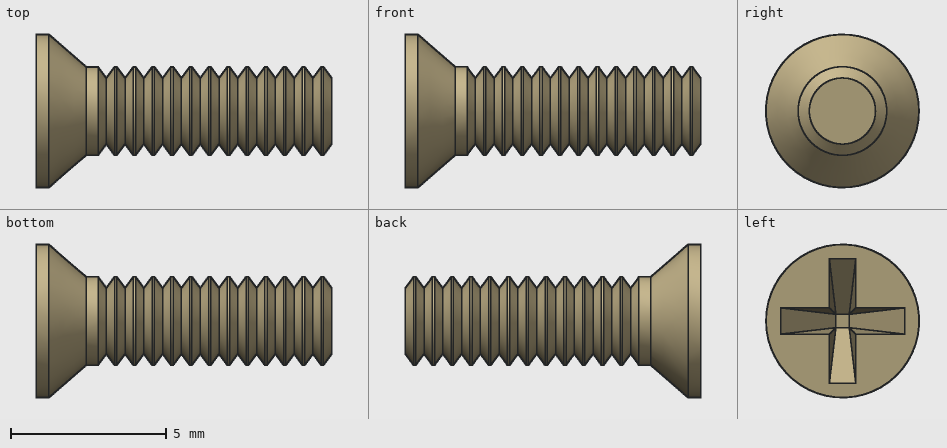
import cadquery as cq

length = 9.53
head_diameter = 4.95
head_radius = head_diameter / 2
rim_length = 0.41
cone_end = 1.61

shank_radius = 1.43
shank_end = 1.99
root_radius = 1.07
first_root = 2.26
ring_count = 12
pitch = (length - first_root) / ring_count
flank = first_root - shank_end

slot_length = 4.0
slot_width = 0.85
floor_size = 0.43
recess_depth = 2.29


def screw_profile():
    """Half section from the axis, along the outside, to the tip."""
    points = [
        (0, 0),
        (0, head_radius),
        (rim_length, head_radius),
        (cone_end, shank_radius),
        (shank_end, shank_radius),
        (first_root, root_radius),
    ]
    for ring in range(ring_count):
        ring_start = first_root + ring * pitch
        ring_end = ring_start + pitch
        points += [
            (ring_start + flank, shank_radius),
            (ring_end - flank, shank_radius),
            (ring_end, root_radius),
        ]
    points.append((length, 0))
    return points


def tapered_slot(size_y, size_z):
    """Slot narrowing on all four sides from the head face to the square floor."""
    return (
        cq.Workplane("YZ")
        .rect(size_y, size_z)
        .workplane(offset=recess_depth)
        .rect(floor_size, floor_size)
        .loft(ruled=True)
    )


body = cq.Workplane("XY").polyline(screw_profile()).close().revolve(360, (0, 0, 0), (1, 0, 0))
recess = tapered_slot(slot_length, slot_width).union(tapered_slot(slot_width, slot_length))
result = body.cut(recess)